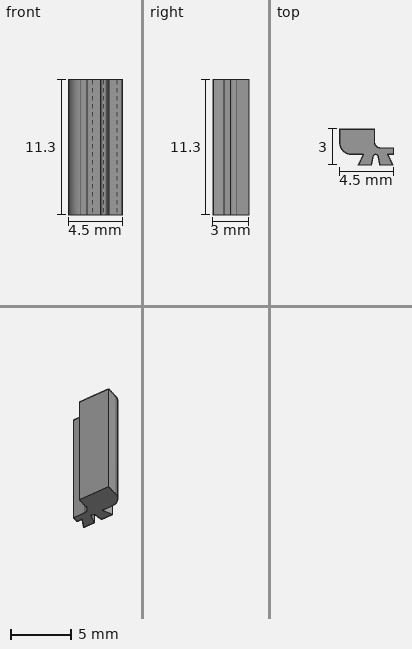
import cadquery as cq
import math

length = 11.3
width = 4.5
depth = 3.0

block_width = 2.9
block_corner_radius = 1.0
flange_thickness = 0.55
flange_fillet_radius = 0.5

foot_height = 0.89
foot_center_x = 3.0
foot_tip_half_width = 1.45
foot_root_half_width = 1.02
groove_root_radius = 0.2
groove_flank_angle = math.radians(11.5)

groove_arc_center_y = foot_height - groove_root_radius
tangent_half_width = groove_root_radius * math.cos(groove_flank_angle)
tangent_y = groove_arc_center_y + groove_root_radius * math.sin(groove_flank_angle)
mouth_half_width = tangent_half_width + tangent_y * math.tan(groove_flank_angle)


def make_body():
    """Block and flange, with the outer corner rounded and the inner corner filleted."""
    flange_top = foot_height + flange_thickness
    body = (
        cq.Workplane("XY")
        .moveTo(0, foot_height)
        .lineTo(width, foot_height)
        .lineTo(width, flange_top)
        .lineTo(block_width, flange_top)
        .lineTo(block_width, depth)
        .lineTo(0, depth)
        .close()
        .extrude(length)
    )
    outer_corner = cq.selectors.NearestToPointSelector((0, foot_height, length / 2))
    inner_corner = cq.selectors.NearestToPointSelector((block_width, flange_top, length / 2))
    body = body.edges(outer_corner).fillet(block_corner_radius)
    return body.edges(inner_corner).fillet(flange_fillet_radius)


def make_foot():
    """Solid dovetail, widest at its tip."""
    return (
        cq.Workplane("XY")
        .center(foot_center_x, 0)
        .moveTo(-foot_tip_half_width, 0)
        .lineTo(foot_tip_half_width, 0)
        .lineTo(foot_root_half_width, foot_height)
        .lineTo(-foot_root_half_width, foot_height)
        .close()
        .extrude(length)
    )


def make_groove():
    """Tapered groove that splits the foot into two legs."""
    return (
        cq.Workplane("XY")
        .center(foot_center_x, 0)
        .moveTo(-mouth_half_width, 0)
        .lineTo(-tangent_half_width, tangent_y)
        .threePointArc((0, foot_height), (tangent_half_width, tangent_y))
        .lineTo(mouth_half_width, 0)
        .close()
        .extrude(length)
    )


result = make_body().union(make_foot()).cut(make_groove())